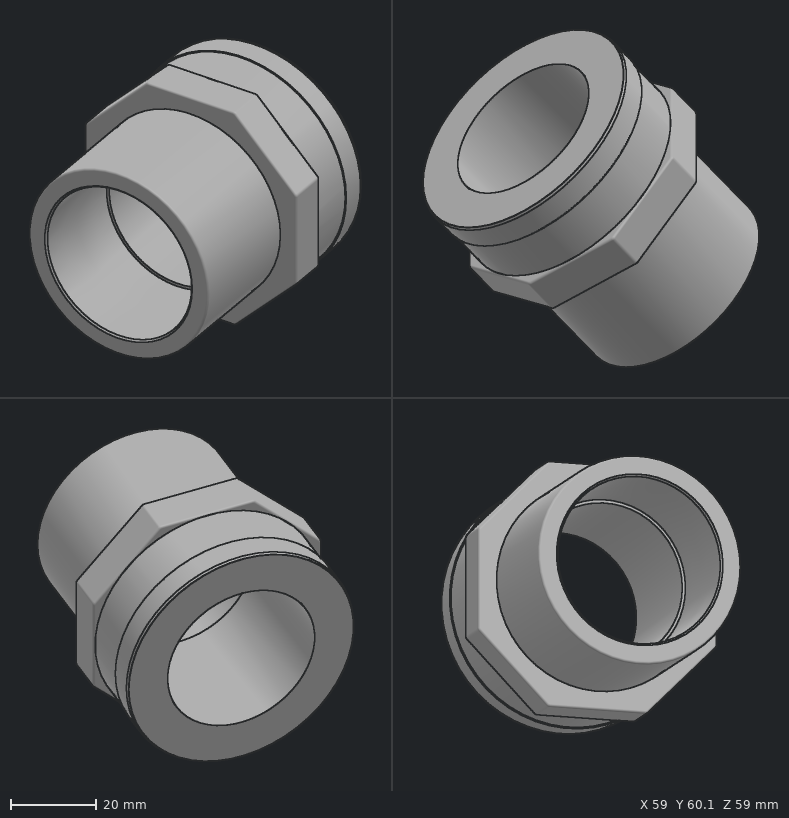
import cadquery as cq


total_length = 60.1
back_y = total_length / 2
front_y = -total_length / 2
nut_back_y = 11.25
nut_width = 10.0
nut_front_y = nut_back_y - nut_width

socket_diameter = 58.0
spigot_diameter = 50.0
across_flats = 59.0
nut_corner_radius = 1.0
edge_radius = 0.6

through_diameter = 38.0
spigot_bore_front_diameter = 40.1
spigot_bore_end_diameter = 39.55
spigot_bore_depth = 25.75
bore_chamfer = 0.5

ring_diameter = 58.7
ring_width = 6.85
ring_chamfer_radial = 0.25
ring_chamfer_axial = 0.7


def revolve_about_y(profile):
    """Turn a closed outline of (radius, y) points into a solid of revolution about Y."""
    return cq.Workplane("XY").polyline(profile).close().revolve(360, (0, 0, 0), (0, 1, 0))


def cylinder_along_y(diameter, start_y, end_y):
    """Solid cylinder on the Y axis between two Y positions."""
    start_plane = cq.Workplane("XZ", origin=(0, start_y, 0))
    return start_plane.circle(diameter / 2).extrude(start_y - end_y)


def make_nut():
    """Octagonal wrench section with flats facing X and Z, rounded on every edge."""
    size = across_flats
    plate = cq.Workplane("XZ", origin=(0, nut_back_y, 0)).rect(size, size).extrude(nut_width)
    turned_plate = plate.rotate((0, 0, 0), (0, 1, 0), 45)
    octagon = plate.intersect(turned_plate)
    octagon = octagon.edges("|Y").fillet(nut_corner_radius)
    return octagon.faces("<Y or >Y").edges().fillet(edge_radius)


def make_bore():
    """Tapered spigot bore with a chamfered mouth, stepping down to the through bore."""
    through_radius = through_diameter / 2
    mouth_radius = spigot_bore_front_diameter / 2
    spigot_bore_end_y = front_y + spigot_bore_depth
    return revolve_about_y([
        (0, front_y),
        (mouth_radius + bore_chamfer, front_y),
        (mouth_radius, front_y + bore_chamfer),
        (spigot_bore_end_diameter / 2, spigot_bore_end_y),
        (through_radius, spigot_bore_end_y),
        (through_radius, back_y),
        (0, back_y),
    ])


def make_housing():
    """Socket, octagonal nut and spigot in one piece, bored from end to end."""
    socket = cylinder_along_y(socket_diameter, back_y, nut_back_y)
    spigot = cylinder_along_y(spigot_diameter, nut_front_y, front_y)
    spigot = spigot.faces("<Y").edges().fillet(edge_radius)
    return socket.union(make_nut()).union(spigot).cut(make_bore())


def make_ring():
    """Thin ring fitted over the socket, flush with its end and chamfered outside."""
    inner_radius = socket_diameter / 2
    outer_radius = ring_diameter / 2
    ring_front_y = back_y - ring_width
    return revolve_about_y([
        (inner_radius, ring_front_y),
        (outer_radius, ring_front_y),
        (outer_radius, back_y - ring_chamfer_axial),
        (outer_radius - ring_chamfer_radial, back_y),
        (inner_radius, back_y),
    ])


housing = make_housing()
ring = make_ring()

result = cq.Compound.makeCompound([housing.val(), ring.val()])